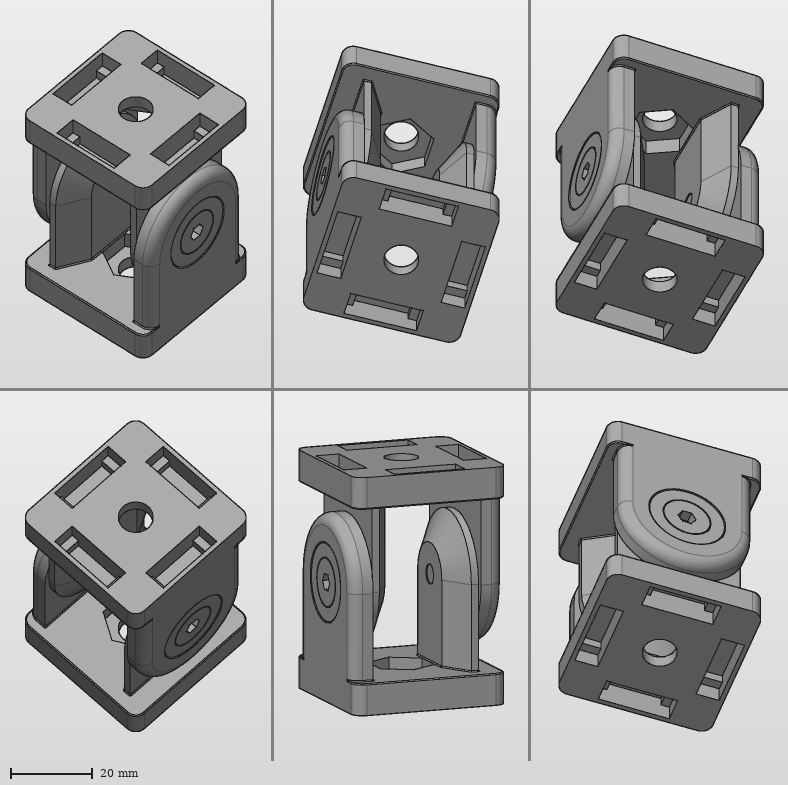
import cadquery as cq
import math


side = 40.0
height = 59.6
plate_thickness = 8.0
corner_radius = 3.0
edge_chamfer = 0.3
half_side = side / 2
plate_top = height / 2
plate_bottom = plate_top - plate_thickness

bolt_hole_diameter = 8.5
nut_across_flats = 14.3
hexagon_sides = 6
nut_pocket_depth = 4.4

slot_length = 18.5
slot_width = 6.0
slot_edge_margin = 1.2
slot_ledge_length = 2.2
slot_ledge_depth = 4.5
slot_floor_depth = 7.0
slot_offset = half_side - slot_edge_margin - slot_width / 2
slot_count = 4

ear_gap = 0.2
outer_ear_thickness = 5.8
outer_ear_radius = 17.15
outer_ear_fillet = 3.0
inner_ear_face = 7.5
inner_ear_rim = 1.9
inner_ear_radius = 16.0
inner_ear_face_radius = 8.0
root_chamfer = 0.3
root_angle = 45
outer_ear_back = half_side - outer_ear_thickness
inner_ear_back = outer_ear_back - ear_gap
inner_ear_rim_end = inner_ear_back - inner_ear_rim

ring_diameter = 19.4
ring_recess_diameter = 20.0
ring_setback = 0.2
ring_thickness = 3.0
ring_bore_diameter = 12.45
ring_face = -half_side + ring_setback
recess_floor = ring_face + ring_thickness

screw_head_diameter = 12.0
shank_diameter = 5.0
socket_across_flats = 4.0
socket_depth = 2.7
screw_end_setback = 0.3
screw_end = -inner_ear_face - screw_end_setback


def across_corners(across_flats):
    """Corner diameter of a hexagon from its width between flats."""
    return across_flats / math.cos(math.pi / hexagon_sides)


def x_cylinder(diameter, x_start, x_end):
    """Cylinder on the pivot axis between two X positions."""
    return cq.Workplane("YZ").workplane(offset=x_start).circle(diameter / 2).extrude(x_end - x_start)


def plate_outline(z_start, z_end):
    """Square block with rounded vertical corners."""
    block = cq.Workplane("XY").workplane(offset=z_start).rect(side, side).extrude(z_end - z_start)
    return block.edges("|Z").fillet(corner_radius)


def slot_cutter():
    """Stepped slot on the +X side, with a ledge at each end."""
    mouth = cq.Workplane("XY").workplane(offset=plate_top).center(slot_offset, 0)
    upper = mouth.rect(slot_width, slot_length).extrude(-slot_ledge_depth)
    lower = mouth.rect(slot_width, slot_length - 2 * slot_ledge_length).extrude(-slot_floor_depth)
    return upper.union(lower)


def make_plate():
    plate = plate_outline(plate_bottom, plate_top).faces("<Z").edges().chamfer(edge_chamfer)
    plate = plate.cut(cq.Workplane("XY").circle(bolt_hole_diameter / 2).extrude(plate_top))
    nut_pocket = (
        cq.Workplane("XY")
        .workplane(offset=plate_bottom)
        .transformed(rotate=(0, 0, 90))
        .polygon(hexagon_sides, across_corners(nut_across_flats))
        .extrude(nut_pocket_depth)
    )
    plate = plate.cut(nut_pocket)
    for index in range(slot_count):
        turn = index * 360 / slot_count
        plate = plate.cut(slot_cutter().rotate((0, 0, 0), (0, 0, 1), turn))
    return plate


def root_flare(ear):
    """Chamfered foot where an ear meets the plate, kept inside the plate outline."""
    footprint = ear.faces(">Z").wires().val().translate(cq.Vector(0, 0, -edge_chamfer - root_chamfer))
    flare = cq.Workplane("XY").workplane(offset=plate_bottom - root_chamfer)
    flare = flare.add(footprint).toPending().extrude(root_chamfer, taper=-root_angle)
    return flare.intersect(plate_outline(0, plate_top))


def make_outer_ear():
    """Ear at -X with a round end and a filleted outer rim, holed for the ring and the screw."""
    ear_top = plate_bottom + edge_chamfer
    ear = (
        cq.Workplane("YZ")
        .workplane(offset=-half_side)
        .moveTo(-outer_ear_radius, ear_top)
        .lineTo(-outer_ear_radius, 0)
        .threePointArc((0, -outer_ear_radius), (outer_ear_radius, 0))
        .lineTo(outer_ear_radius, ear_top)
        .close()
        .extrude(outer_ear_thickness)
    )
    rim = ear.faces("<X").edges("not >Z")
    ear = ear.newObject(rim.vals()).fillet(outer_ear_fillet)
    ear = ear.union(root_flare(ear))
    ear = ear.cut(x_cylinder(ring_recess_diameter, -half_side, recess_floor))
    return ear.cut(x_cylinder(shank_diameter, -half_side, -outer_ear_back))


def make_inner_ear():
    """Ear at +X whose flanks and round end slope in to a narrower inner face."""
    ear_top = plate_bottom + edge_chamfer
    half_section = [
        (inner_ear_back, 0),
        (inner_ear_back, inner_ear_radius),
        (inner_ear_rim_end, inner_ear_radius),
        (inner_ear_face, inner_ear_face_radius),
        (inner_ear_face, 0),
    ]
    half_straight = cq.Workplane("XY").polyline(half_section).close().extrude(ear_top)
    straight = half_straight.union(half_straight.mirror("XZ"))
    round_end = cq.Workplane("XY").polyline(half_section).close().revolve(360, (0, 0, 0), (1, 0, 0))
    ear = straight.union(root_flare(straight)).union(round_end)
    return ear.cut(x_cylinder(shank_diameter, inner_ear_face, inner_ear_back))


def make_bracket():
    return make_plate().union(make_outer_ear()).union(make_inner_ear())


def make_ring():
    """Flat ring around the screw head."""
    ring = x_cylinder(ring_diameter, ring_face, recess_floor)
    return ring.cut(x_cylinder(ring_bore_diameter, ring_face, recess_floor))


def make_screw():
    """Socket screw whose shank runs through both ears and ends just inside the inner ear."""
    head = x_cylinder(screw_head_diameter, ring_face, recess_floor)
    shank = x_cylinder(shank_diameter, recess_floor, screw_end)
    socket = (
        cq.Workplane("YZ")
        .workplane(offset=ring_face)
        .polygon(hexagon_sides, across_corners(socket_across_flats))
        .extrude(socket_depth)
    )
    return head.union(shank).cut(socket)


bodies = []
for half_turn in (0, 180):
    for make_body in (make_bracket, make_ring, make_screw):
        bodies.append(make_body().rotate((0, 0, 0), (0, 1, 0), half_turn).val())

result = cq.Compound.makeCompound(bodies)